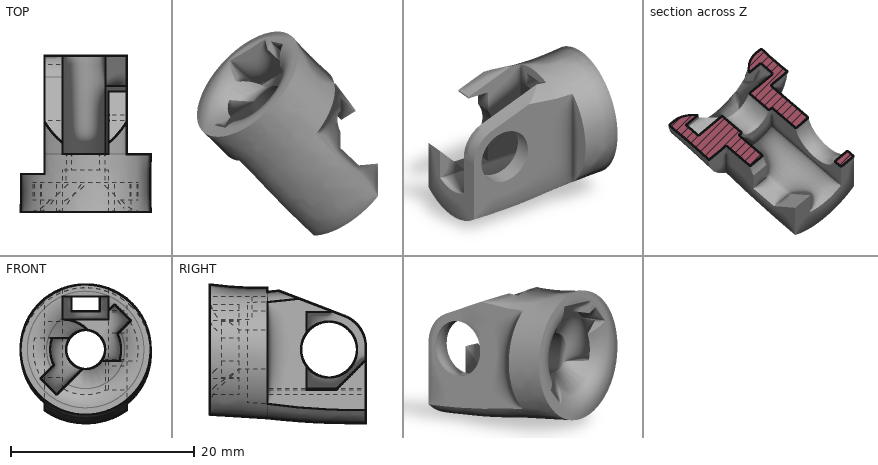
import cadquery as cq
import math

length = 17.06
front_radius = 7.11
waist_radius = 7.06
waist_drop = 0.3
neck_radius = 7.13
neck_drop = 0.38
tail_radius = 7.49
back_radius = 7.66
tail_drop = 0.4
tail_middle_y = 10.58
ring_end = 6.31
left_ring_end = 4.16
cheek_outer_x = 4.49

bore_radius = 2.12
funnel_lip_radius = 6.36
cone_radius = 4.26
cone_angle = math.radians(47)
cone_start = (funnel_lip_radius - cone_radius) * math.tan(cone_angle / 2)
funnel_depth = cone_start + (cone_radius - bore_radius) * math.tan(cone_angle)

key_half_length = 5.72
key_half_width = 1.25
key_angle = 45
undercut_rim_radius = 3.87
undercut_start = cone_start + (cone_radius - undercut_rim_radius) * math.tan(cone_angle)
relief_start_x = -2.3
relief_middle = (-0.95, 2.95)
relief_end = (0.25, 2.05)

window_top = 5.77
pocket_half_width = 2.5
pocket_bottom = 3.25
pocket_depth = 4.6
window_half_width = 1.54
window_bottom = 4.18

slot_half_width = 2.5
trough_radius = 4.93
trough_right_x = 2.18
ledge_z = -math.sqrt(trough_radius**2 - trough_right_x**2)

pivot_y = 13.03
pivot_radius = 3.04
cheek_round_radius = 3.62
cheek_round_z = 0.29
cheek_slope = math.radians(21)

opening_front = 10.58
opening_top = 4.1
finger_end = 13.14
gusset_start = 13.75

clearance = 10.24


def box(x0, x1, y0, y1, z0, z1):
    return cq.Workplane("XY").box(x1 - x0, y1 - y0, z1 - z0, centered=False).translate((x0, y0, z0))


def section(y, radius, drop):
    return cq.Wire.makeCircle(radius, cq.Vector(0, y, -drop), cq.Vector(0, 1, 0))


def loft(*sections):
    return cq.Workplane(obj=cq.Solid.makeLoft(list(sections)))


def make_body():
    ring = loft(
        section(0, front_radius, 0),
        section(left_ring_end, waist_radius, waist_drop),
        section(ring_end, neck_radius, neck_drop),
    )
    tail = loft(
        section(ring_end, neck_radius, neck_drop),
        section(tail_middle_y, tail_radius, tail_drop),
        section(length, back_radius, tail_drop),
    )
    cheek_block = box(-cheek_outer_x, cheek_outer_x, ring_end, length, -clearance, clearance)
    left_flat = box(-clearance, -cheek_outer_x, left_ring_end, ring_end, -clearance, clearance)
    return ring.cut(left_flat).union(tail.intersect(cheek_block))


def make_funnel():
    lip_round = (funnel_lip_radius - cone_radius) / math.sin(cone_angle)
    lip_middle = (
        funnel_lip_radius - lip_round * math.sin(cone_angle / 2),
        lip_round * (1 - math.cos(cone_angle / 2)),
    )
    return (
        cq.Workplane("XY")
        .lineTo(funnel_lip_radius, 0)
        .threePointArc(lip_middle, (cone_radius, cone_start))
        .lineTo(bore_radius, funnel_depth)
        .lineTo(bore_radius, ring_end)
        .lineTo(0, ring_end)
        .close()
        .revolve(360, (0, 0), (0, 1))
    )


def make_bayonet_pocket():
    plane = cq.Workplane("XZ")
    key = (
        plane.rect(2 * key_half_length, 2 * key_half_width)
        .extrude(-funnel_depth)
        .rotate((0, 0, 0), (0, 1, 0), -key_angle)
    )
    undercut = cq.Workplane("XZ", origin=(0, undercut_start, 0))
    undercut_depth = funnel_depth - undercut_start
    turn = (
        undercut.moveTo(0, -key_half_width)
        .lineTo(clearance, -key_half_width)
        .lineTo(clearance, clearance)
        .lineTo(0, 0)
        .close()
        .extrude(-undercut_depth)
        .intersect(undercut.circle(key_half_length).extrude(-undercut_depth))
    )
    opposite_turn = turn.rotate((0, 0, 0), (0, 1, 0), 180)
    relief = (
        plane.moveTo(relief_start_x, pocket_bottom)
        .threePointArc(relief_middle, relief_end)
        .lineTo(bore_radius, relief_end[1])
        .lineTo(pocket_half_width, pocket_bottom)
        .close()
        .extrude(-funnel_depth)
    )
    return key.union(turn).union(opposite_turn).union(relief)


def make_window():
    pocket = box(-pocket_half_width, pocket_half_width, 0, pocket_depth, pocket_bottom, window_top)
    window = box(-window_half_width, window_half_width, 0, ring_end, window_bottom, window_top)
    return pocket.union(window)


def make_gusset():
    return (
        cq.Workplane("YZ", origin=(trough_right_x, 0, 0))
        .moveTo(gusset_start, ledge_z)
        .lineTo(length, ledge_z)
        .lineTo(length, ledge_z + length - gusset_start)
        .close()
        .extrude(clearance)
    )


def make_slot():
    upper = box(-slot_half_width, slot_half_width, ring_end, length, 0, clearance)
    ledge = box(0, slot_half_width, ring_end, length, ledge_z, 0)
    trough = (
        cq.Workplane("XZ", origin=(0, ring_end, 0))
        .circle(trough_radius)
        .extrude(ring_end - length)
        .intersect(box(-slot_half_width, trough_right_x, ring_end, length, -clearance, 0))
    )
    return upper.union(ledge).cut(make_gusset()).union(trough)


def make_cheek_trim():
    def on_round(angle):
        return (
            length - cheek_round_radius + cheek_round_radius * math.cos(angle),
            cheek_round_z + cheek_round_radius * math.sin(angle),
        )

    slope_normal = math.pi / 2 - cheek_slope
    tangent_y, tangent_z = on_round(slope_normal)
    slope_end_z = tangent_z + (tangent_y - ring_end) * math.tan(cheek_slope)
    return (
        cq.Workplane("YZ", origin=(-clearance, 0, 0))
        .moveTo(length, cheek_round_z)
        .threePointArc(on_round(slope_normal / 2), (tangent_y, tangent_z))
        .lineTo(ring_end, slope_end_z)
        .lineTo(ring_end, clearance)
        .lineTo(length, clearance)
        .close()
        .extrude(2 * clearance)
    )


def make_pivot_hole():
    return (
        cq.Workplane("YZ", origin=(-clearance, 0, 0))
        .center(pivot_y, 0)
        .circle(pivot_radius)
        .extrude(2 * clearance)
    )


def make_right_opening():
    below_finger = box(slot_half_width, clearance, opening_front, length, ledge_z, opening_top)
    behind_finger = box(slot_half_width, clearance, finger_end, length, opening_top, clearance)
    return below_finger.union(behind_finger).cut(make_gusset())


result = (
    make_body()
    .cut(make_funnel())
    .cut(make_bayonet_pocket())
    .cut(make_window())
    .cut(make_slot())
    .cut(make_cheek_trim())
    .cut(make_pivot_hole())
    .cut(make_right_opening())
)